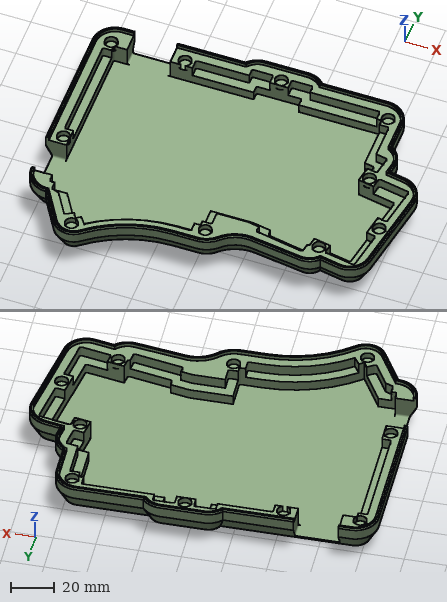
import cadquery as cq
import math

height = 14.0
floor_top = 1.7
ledge_top = 6.7
taper_top = 7.9
rim_top = 12.0

base_inset = 4.1
lip_width = 1.5
lip_chamfer = 0.7
thin_wall = 5.8
thick_wall = 10.5

corner_radius = 11.0
inside_radius = 0.9
notch_radius = 1.0

right_side = 151.0
top_side = 124.3
mound_top = 128.1
mound_center_x = 89.3
mound_half_flat = 10.3
lower_left_center_y = 31.5
lower_edge = 16.2

thumb_center = (28.7, 9.5)
thumb_radius = 9.5
sweep_start_x = 73.3
sweep_end_x = 85.8
swell_radius = 14.1
swell_angle = 45.0
dip_radius = 16.3

tilt_angle = 10.0
block_right = 156.8
block_bottom = 49.4
block_top = 111.0
bump_side = 138.3
bump_bottom = 44.5
upper_bump_center_v = 114.0
lower_bump_center_u = 127.5

cavity_left = 10.1
shelf_y = 27.9
thumb_cavity_length = 20.6
mound_cavity_half_width = 11.0
bump_cavity_top = 114.5
block_pad_left = 127.5
center_pad_left = 84.1
center_pad_right = 113.7
center_pad_top = 40.5
center_tilted_top = 58.0

side_ledge_top = 111.1
left_ledge_bottom = 59.8
top_ledge_x = (48.5, 138.1)
mound_ledge_half_width = 14.8
magnet_pad_half_width = 4.5
bump_ledge_bottom = 108.3
bump_ledge_top = 117.8
upper_ledge_left = 135.2
upper_ledge_bottom = 85.1
upper_ledge_top = 105.6
lower_ledge_left = 135.7
lower_ledge_top = 75.0
center_ledge_u = (102.0, 126.4)
center_ledge_bottom = 29.0
sweep_ledge_angle = 126.7
sweep_ledge_middle_x = 37.8
sweep_ledge_right = 81.2
thumb_ledge_start = 1.0
thumb_ledge_end = 14.1
shelf_ledge_x = 12.7
shelf_ledge_bottom = 24.0

overlap = 1.7

left_notch_y = (31.6, 50.7)
top_notch_x = (16.7, 37.7)

magnet_diameter = 6.2
magnet_depth = 3.1
magnet_centers = [
    (8.3, 115.7), (43.9, 116.8), (89.3, 120.7), (143.1, 115.7), (147.2, 79.3),
    (161.7, 52.6), (139.5, 32.8), (87.2, 24.6), (28.2, 7.5), (7.0, 55.2),
]

tilt_cos = math.cos(math.radians(tilt_angle))
tilt_sin = math.sin(math.radians(tilt_angle))

lower_left_center = (corner_radius, lower_left_center_y)
lower_left_corner = (corner_radius, lower_left_center_y - corner_radius)

thumb_run = thumb_center[0] - lower_left_corner[0]
thumb_drop = lower_left_corner[1] - thumb_center[1]
thumb_side_angle = math.degrees(
    math.atan2(thumb_drop, thumb_run) + math.asin(thumb_radius / math.hypot(thumb_run, thumb_drop))
)

sweep_run = sweep_start_x - thumb_center[0]
thumb_rise = lower_edge - thumb_center[1]
sweep_radius = (sweep_run**2 + thumb_rise**2 - thumb_radius**2) / (2 * (thumb_rise + thumb_radius))
sweep_center = (sweep_start_x, lower_edge - sweep_radius)


def tilted(u, v):
    """Turn tilted-block coordinates into X, Y."""
    return (u * tilt_cos + v * tilt_sin, v * tilt_cos - u * tilt_sin)


def tilted_x(v, y):
    """X where a line of constant v crosses the height y."""
    return (v - y * tilt_cos) / tilt_sin


def tilted_y(v, x):
    """Y where a line of constant v crosses the position x."""
    return (v - x * tilt_sin) / tilt_cos


def on_circle(center, radius, angle):
    """Point on a circle at an angle in degrees."""
    a = math.radians(angle)
    return (center[0] + radius * math.cos(a), center[1] + radius * math.sin(a))


def add_arc(path, center, radius, start, end):
    """Continue a path along an arc that begins where the path ends."""
    middle = on_circle(center, radius, (start + end) / 2)
    return path.threePointArc(middle, on_circle(center, radius, end))


def add_corner(path, center, radius, start, end):
    """Run a path straight to the start of an arc, then along it."""
    return add_arc(path.lineTo(*on_circle(center, radius, start)), center, radius, start, end)


def outer_outline():
    """Closed outer outline, clockwise from the left side."""
    r = corner_radius
    path = cq.Workplane("XY").moveTo(0, lower_left_center_y)

    path = add_corner(path, (r, top_side - r), r, 180, 90)
    mound_angle = math.degrees(math.asin((top_side - mound_top + r) / r))
    mound_y = mound_top - r
    path = add_corner(path, (mound_center_x - mound_half_flat, mound_y), r, 180 - mound_angle, 90)
    path = add_corner(path, (mound_center_x + mound_half_flat, mound_y), r, 90, mound_angle)
    path = add_corner(path, (right_side - r, top_side - r), r, 90, 0)

    bump_center = tilted(bump_side - r, upper_bump_center_v)
    bump_angle = math.degrees(math.acos((right_side - bump_center[0]) / r))
    path = add_corner(path, bump_center, r, bump_angle, -tilt_angle)
    path = path.lineTo(*tilted(bump_side, block_top))
    facing_up, facing_right, facing_down = (angle - tilt_angle for angle in (90, 0, -90))
    path = add_corner(path, tilted(block_right - r, block_top - r), r, facing_up, facing_right)
    path = add_corner(path, tilted(block_right - r, block_bottom + r), r, facing_right, facing_down)
    bump_center = tilted(lower_bump_center_u, bump_bottom + r)
    bump_angle = math.degrees(math.acos((bump_bottom + r - block_bottom) / r))
    path = add_corner(path, bump_center, r, facing_down + bump_angle, facing_down)

    swell_center = (sweep_end_x, lower_edge + swell_radius)
    dip_center = on_circle(swell_center, swell_radius + dip_radius, swell_angle - 90)
    path = add_corner(path, dip_center, dip_radius, facing_up, swell_angle + 90)
    path = add_arc(path, swell_center, swell_radius, swell_angle - 90, -90)

    sweep_angle = math.degrees(math.atan2(thumb_center[1] - sweep_center[1], -sweep_run))
    path = add_corner(path, sweep_center, sweep_radius, 90, sweep_angle)
    path = add_arc(path, thumb_center, thumb_radius, sweep_angle - 180, -90 - thumb_side_angle)
    path = add_corner(path, lower_left_center, r, -90, -180)
    return path.close().wires().val()


outline = outer_outline()


def outline_at(inset, z):
    """Outline moved inward by an inset and placed at a height."""
    wire = outline.offset2D(-inset, "intersection")[0] if inset else outline
    return wire.translate(cq.Vector(0, 0, z))


def slab(lower_inset, lower_z, upper_inset, upper_z):
    """Solid between two insets of the outline."""
    wires = [outline_at(lower_inset, lower_z), outline_at(upper_inset, upper_z)]
    return cq.Workplane(obj=cq.Solid.makeLoft(wires, True))


def pocket(points, bottom):
    """Pocket cutter from a counterclockwise polygon, open at the rim, with its outward corners rounded."""
    cutter = cq.Workplane("XY").workplane(offset=bottom).polyline(points).close().extrude(height - bottom)
    middle_z = (bottom + height) / 2
    following = points[1:] + points[:1]
    corners = []
    for (x0, y0), (x1, y1), (x2, y2) in zip(points, following, following[1:] + following[:1]):
        turns_left = (x1 - x0) * (y2 - y1) > (y1 - y0) * (x2 - x1)
        if turns_left:
            corner = cq.selectors.NearestToPointSelector((x1, y1, middle_z))
            corners += cutter.edges("|Z").edges(corner).vals()
    return cutter.newObject(corners).fillet(inside_radius)


def sweep_disc(wall):
    """Disc concentric with the sweep, leaving a wall of the given thickness."""
    return cq.Workplane("XY").center(*sweep_center).circle(sweep_radius + wall).extrude(height)


def thumb_side_point(distance, inset):
    """Point along the thumb side from the lower left corner, moved inward."""
    slope = math.radians(thumb_side_angle)
    return (
        lower_left_corner[0] + distance * math.cos(slope) + inset * math.sin(slope),
        lower_left_corner[1] - distance * math.sin(slope) + inset * math.cos(slope),
    )


def thumb_side_x(y, inset):
    """X of the inset thumb side at the height y."""
    x0, y0 = thumb_side_point(0, inset)
    return x0 + (y0 - y) / math.tan(math.radians(thumb_side_angle))


def cavity():
    """Cavity cutter down to the floor, leaving the thick wall and the pads that hold the magnets."""
    wall = thick_wall
    right, top = right_side - wall, top_side - wall
    block_inner = block_right - wall
    thumb_tip = thumb_side_point(thumb_cavity_length, wall)
    center_v = bump_bottom + wall
    points = [
        (cavity_left, shelf_y),
        (thumb_side_x(shelf_y, wall), shelf_y),
        thumb_tip,
        (sweep_start_x, thumb_tip[1]),
        (sweep_start_x, lower_edge + wall),
        (center_pad_left, lower_edge + wall),
        (center_pad_left, center_pad_top),
        (tilted_x(center_tilted_top, center_pad_top), center_pad_top),
        (center_pad_right, tilted_y(center_tilted_top, center_pad_right)),
        (center_pad_right, tilted_y(center_v, center_pad_right)),
        tilted(block_pad_left, center_v),
        tilted(block_pad_left, block_bottom + wall),
        tilted(block_inner, block_bottom + wall),
        tilted(block_inner, block_top - wall),
        tilted(block_pad_left, block_top - wall),
        tilted(block_pad_left, bump_cavity_top),
        (right, tilted_y(bump_cavity_top, right)),
        (right, top),
        (mound_center_x + mound_cavity_half_width, top),
        (mound_center_x + mound_cavity_half_width, mound_top - wall),
        (mound_center_x - mound_cavity_half_width, mound_top - wall),
        (mound_center_x - mound_cavity_half_width, top),
        (cavity_left, top),
    ]
    return pocket(points, floor_top).cut(sweep_disc(wall))


def ledge_pockets():
    """Cutters that thin the wall above the ledge; each runs a little into the cavity."""
    thin = thin_wall
    reach = thick_wall + overlap
    top = top_side - thin

    yield pocket([
        (thin, left_ledge_bottom),
        (reach, left_ledge_bottom),
        (reach, side_ledge_top),
        (thin, side_ledge_top),
    ], ledge_top)

    pad_left = mound_center_x - magnet_pad_half_width
    pad_right = mound_center_x + magnet_pad_half_width
    step_left = mound_center_x - mound_ledge_half_width
    step_right = mound_center_x + mound_ledge_half_width
    yield pocket([
        (top_ledge_x[0], top_side - reach),
        (pad_left, top_side - reach),
        (pad_left, mound_top - thin),
        (step_left, mound_top - thin),
        (step_left, top),
        (top_ledge_x[0], top),
    ], ledge_top)
    yield pocket([
        (pad_right, top_side - reach),
        (top_ledge_x[1], top_side - reach),
        (top_ledge_x[1], top),
        (step_right, top),
        (step_right, mound_top - thin),
        (pad_right, mound_top - thin),
    ], ledge_top)

    bump_u = bump_side - thin
    yield pocket([
        (right_side - reach, tilted_y(bump_ledge_bottom, right_side - reach)),
        tilted(bump_u, bump_ledge_bottom),
        tilted(bump_u, bump_ledge_top),
        (right_side - thin, tilted_y(bump_ledge_top, right_side - thin)),
        (right_side - thin, side_ledge_top),
        (right_side - reach, side_ledge_top),
    ], ledge_top)

    outer_u, inner_u = block_right - thin, block_right - reach
    upper_corner = [
        (upper_ledge_left, block_top - reach),
        (inner_u, block_top - reach),
        (inner_u, upper_ledge_bottom),
        (outer_u, upper_ledge_bottom),
        (outer_u, upper_ledge_top),
        (upper_ledge_left, upper_ledge_top),
    ]
    lower_corner = [
        (lower_ledge_left, block_bottom + thin),
        (outer_u, block_bottom + thin),
        (outer_u, lower_ledge_top),
        (inner_u, lower_ledge_top),
        (inner_u, block_bottom + reach),
        (lower_ledge_left, block_bottom + reach),
    ]
    for corner in (upper_corner, lower_corner):
        yield pocket([tilted(u, v) for u, v in corner], ledge_top)

    ledge_width = thick_wall - thin
    pad_y = center_pad_top - ledge_width
    pad_v = center_tilted_top - ledge_width
    clear_x, clear_y = center_pad_right + overlap, center_pad_top + overlap
    clear_v = center_tilted_top + overlap
    yield pocket([
        (center_pad_left - overlap, center_ledge_bottom),
        (center_pad_left + ledge_width, center_ledge_bottom),
        (center_pad_left + ledge_width, pad_y),
        (tilted_x(pad_v, pad_y), pad_y),
        tilted(center_ledge_u[0], pad_v),
        tilted(center_ledge_u[0], bump_bottom + thin),
        tilted(center_ledge_u[1], bump_bottom + thin),
        tilted(center_ledge_u[1], bump_bottom + reach),
        (clear_x, tilted_y(bump_bottom + reach, clear_x)),
        (clear_x, tilted_y(clear_v, clear_x)),
        (tilted_x(clear_v, clear_y), clear_y),
        (center_pad_left - overlap, clear_y),
    ], ledge_top)

    yield pocket([
        on_circle(sweep_center, sweep_radius, sweep_ledge_angle),
        (sweep_start_x, lower_edge),
        (sweep_start_x, lower_edge + thin),
        (sweep_ledge_right, lower_edge + thin),
        (sweep_ledge_right, lower_edge + reach),
        (sweep_ledge_middle_x, lower_edge + reach),
        on_circle(sweep_center, sweep_radius + reach, sweep_ledge_angle),
    ], ledge_top).cut(sweep_disc(thin))

    yield pocket([
        (shelf_ledge_x, shelf_y + overlap),
        (shelf_ledge_x, shelf_ledge_bottom),
        thumb_side_point(thumb_ledge_start, thin),
        thumb_side_point(thumb_ledge_end, thin),
        thumb_side_point(thumb_ledge_end, reach),
        thumb_side_point(-overlap, reach),
    ], ledge_top)


def notch(x_range, y_range, axis):
    """Connector notch cutter down to the floor, with its two bottom edges rounded."""
    size = (x_range[1] - x_range[0], y_range[1] - y_range[0], height)
    cutter = cq.Workplane("XY").box(*size, centered=False).translate((x_range[0], y_range[0], floor_top))
    return cutter.faces("<Z").edges(axis).fillet(notch_radius)


chamfer_start = height - lip_chamfer
result = slab(base_inset, 0, 0, taper_top)
result = result.union(slab(0, taper_top, 0, chamfer_start))
result = result.union(slab(0, chamfer_start, lip_chamfer, height))

result = result.cut(slab(lip_width, rim_top, lip_width, height))
result = result.cut(cavity())
for cutter in ledge_pockets():
    result = result.cut(cutter)

result = result.cut(notch((-overlap, thick_wall), left_notch_y, "|X"))
result = result.cut(notch(top_notch_x, (top_side - thick_wall, top_side + overlap), "|Y"))

magnets = cq.Workplane("XY").workplane(offset=rim_top - magnet_depth).pushPoints(magnet_centers)
result = result.cut(magnets.circle(magnet_diameter / 2).extrude(magnet_depth))